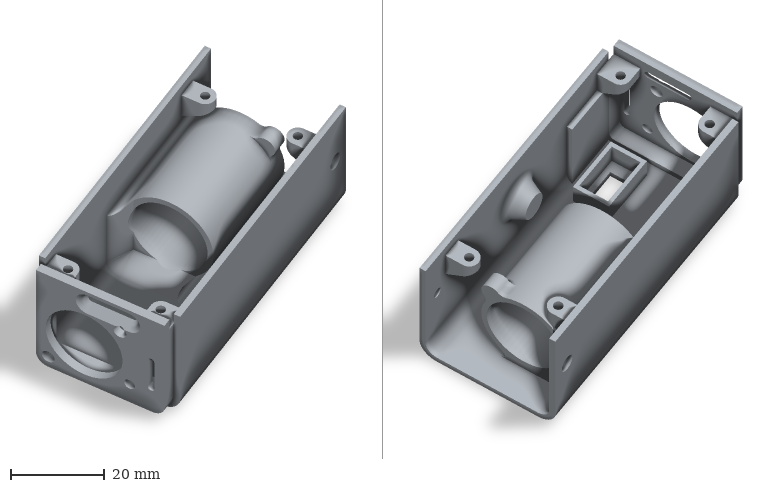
import cadquery as cq
import math

case_width = 35.0
case_height = 30.5
total_length = 74.0
cavity_width = 31.8
floor_thickness = 1.4
cavity_corner_radius = 3.0

plate_thickness = 2.1
case_front = 3.9
lip_end = 6.0
lip_thickness = 1.55
lip_top = 27.5

tube_x = -4.0
tube_z = 13.5
tube_bore = 19.0
tube_radius = 10.95
tube_front = 36.0
tube_back = 66.0
lug_offset = 8.4
lug_radius = 2.5
lug_length = 4.0
lug_fillet = 2.0

support_fillet = 1.0
support_foot_length = 6.0

flange_hole_diameter = 3.2
flange_hole_offset = 8.9
lead_hole_diameter = 2.7
lead_hole_x, lead_hole_z = 7.25, 7.0
window_x, window_z = 1.9, 26.6
window_straight = 10.15
window_outer_height = 5.85
window_inner_height = 2.0
side_slot_x, side_slot_z = 12.6, 13.1
side_slot_width, side_slot_height = 1.6, 10.1

mount_radius = 2.45
mount_hole_x = 11.5
mount_hole_diameter = 2.2
mount_hole_depth = 2.95
mount_wall_depth = 6.65
mount_slope = math.radians(30)
front_mount_y = lip_end
rear_mount_y = 63.9

wall_hole_y, wall_hole_z = 69.5, 17.55
wall_hole_diameter = 2.5
countersink_diameter = 4.15

boss_y = 39.0
boss_height = 4.4
boss_tip_radius = 3.25
boss_half_angle = math.radians(25)
boss_fillet = 2.0

frame_x, frame_y = 7.4, 16.1
frame_size = (9.3, 14.5)
frame_inside = (7.4, 12.4)
frame_opening = (4.6, 7.1)
frame_top = 6.5

pad_thickness = 1.4
pad_end = 20.0
pad_top = 21.5

half_cavity = cavity_width / 2
corner_x = -half_cavity + cavity_corner_radius
corner_z = floor_thickness + cavity_corner_radius
outer_corner_radius = corner_z
wall_thickness = (case_width - cavity_width) / 2
diagonal = math.sqrt(0.5)


def box(x0, x1, y0, y1, z0, z1):
    return cq.Workplane("XY").box(x1 - x0, y1 - y0, z1 - z0, centered=False).translate((x0, y0, z0))


def section(y):
    """Workplane at a given Y with local X = X and local Y = Z; extrude by a negative length toward +Y."""
    return cq.Workplane("XZ", origin=(0, y, 0))


def rod(x, z, radius, y0, y1):
    return section(y0).center(x, z).circle(radius).extrude(y0 - y1)


def u_block(half_width, bottom, top, radius, y0, y1):
    """Block along Y with rounded lower corners."""
    block = box(-half_width, half_width, y0, y1, bottom, top)
    return block.edges("|Y and <Z").fillet(radius)


def make_case():
    outer = u_block(case_width / 2, 0, case_height, outer_corner_radius, case_front, total_length)
    cavity = u_block(
        half_cavity, floor_thickness, case_height, cavity_corner_radius, case_front, total_length
    )
    return outer.cut(cavity)


def make_front():
    plate = u_block(half_cavity, floor_thickness, case_height, cavity_corner_radius, 0, plate_thickness)
    lip = u_block(half_cavity, floor_thickness, lip_top, cavity_corner_radius, plate_thickness, lip_end)
    lip_opening = u_block(
        half_cavity - lip_thickness,
        floor_thickness + lip_thickness,
        lip_top,
        cavity_corner_radius - lip_thickness,
        plate_thickness,
        lip_end,
    )
    return plate.union(lip.cut(lip_opening))


def cut_front_openings(body):
    body = body.cut(rod(tube_x, tube_z, tube_bore / 2, 0, plate_thickness))
    for side in (-1, 1):
        x, z = tube_x + side * flange_hole_offset, tube_z + side * flange_hole_offset
        body = body.cut(rod(x, z, flange_hole_diameter / 2, 0, plate_thickness))
    body = body.cut(rod(lead_hole_x, lead_hole_z, lead_hole_diameter / 2, 0, plate_thickness))
    side_slot = section(0).center(side_slot_x, side_slot_z)
    body = body.cut(side_slot.slot2D(side_slot_height, side_slot_width, 90).extrude(-plate_thickness))
    window = (
        section(0)
        .center(window_x, window_z)
        .slot2D(window_straight + window_outer_height, window_outer_height)
        .workplane(offset=-plate_thickness)
        .slot2D(window_straight + window_inner_height, window_inner_height)
        .loft(ruled=True)
    )
    return body.cut(window)


def make_support():
    """Block bounded by two 45 degree planes tangent to the tube, filleted into the wall and the floor."""
    reach = tube_radius * diagonal
    upper = (tube_x - reach, tube_z + reach)
    lower = (tube_x + reach, tube_z - reach)
    wall_z = upper[1] - (upper[0] + half_cavity)
    floor_x = lower[0] - (lower[1] - floor_thickness)
    tangent = support_fillet / math.tan(math.pi / 8)
    step = tangent * diagonal
    block = (
        section(tube_front - support_foot_length)
        .moveTo(*upper)
        .lineTo(-half_cavity + step, wall_z + step)
        .radiusArc((-half_cavity, wall_z + tangent), support_fillet)
        .lineTo(-half_cavity, floor_thickness)
        .lineTo(floor_x + tangent, floor_thickness)
        .radiusArc((floor_x + step, floor_thickness + step), support_fillet)
        .lineTo(*lower)
        .close()
        .extrude(-(tube_back - tube_front + support_foot_length))
    )
    return block.cut(make_foot_clearance())


def make_foot_clearance():
    """Space in front of the support whose foot slopes to the floor, wall and rounded corner."""
    foot = tube_front - support_foot_length
    above_floor = (
        cq.Workplane("YZ", origin=(corner_x, 0, 0))
        .polyline([
            (foot, floor_thickness),
            (tube_front, corner_z),
            (tube_front, case_height),
            (foot, case_height),
        ])
        .close()
        .extrude(cavity_width)
    )
    beside_wall = (
        cq.Workplane("XY", origin=(0, 0, corner_z))
        .polyline([
            (-half_cavity, foot),
            (corner_x, tube_front),
            (half_cavity, tube_front),
            (half_cavity, foot),
        ])
        .close()
        .extrude(case_height)
    )
    cone = cq.Solid.makeCone(
        cavity_corner_radius, 0, support_foot_length, cq.Vector(corner_x, foot, corner_z), cq.Vector(0, 1, 0)
    )
    return above_floor.union(beside_wall).union(cq.Workplane(cone))


def make_lug():
    """Round lug at the upper right of the tube, blended to it by a concave fillet on each side."""
    lug_start = tube_back - lug_length
    lug_x, lug_z = tube_x + lug_offset, tube_z + lug_offset
    lug = rod(lug_x, lug_z, lug_radius, lug_start, tube_back)
    spacing = lug_offset / diagonal
    to_tube = tube_radius + lug_fillet
    to_lug = lug_radius + lug_fillet
    along = (spacing**2 + to_tube**2 - to_lug**2) / (2 * spacing)
    across = math.sqrt(to_tube**2 - along**2)
    left = (tube_x + (along - across) * diagonal, tube_z + (along + across) * diagonal)
    right = (tube_x + (along + across) * diagonal, tube_z + (along - across) * diagonal)
    web = (
        section(lug_start)
        .polyline([(tube_x, tube_z), left, (lug_x, lug_z), right])
        .close()
        .extrude(-lug_length)
    )
    for x, z in (left, right):
        web = web.cut(rod(x, z, lug_fillet, lug_start, tube_back))
    return lug.union(web)


def make_tube():
    tube = rod(tube_x, tube_z, tube_radius, tube_front, tube_back)
    tube = tube.union(make_lug()).union(make_support())
    return tube.cut(rod(tube_x, tube_z, tube_bore / 2, 0, total_length))


def make_mount(side, hole_y, front_y):
    """Screw mount on one wall; its underside slopes up away from the wall."""
    reach = half_cavity - mount_hole_x + mount_radius
    back_y = hole_y + mount_radius
    tip_depth = mount_wall_depth - reach * math.tan(mount_slope)
    tip = half_cavity - reach
    mount = (
        cq.Workplane("XZ", origin=(0, back_y, 0))
        .polyline([
            (half_cavity, lip_top),
            (half_cavity, lip_top - mount_wall_depth),
            (tip, lip_top - tip_depth),
            (tip, lip_top),
        ])
        .close()
        .extrude(back_y - front_y)
    )
    rounded = cq.Workplane("XY").center(mount_hole_x, hole_y).circle(mount_radius).extrude(case_height)
    rounded = rounded.union(box(mount_hole_x, half_cavity, hole_y - mount_radius, back_y, 0, case_height))
    if front_y < hole_y - mount_radius:
        rounded = rounded.union(box(tip, half_cavity, front_y, hole_y, 0, case_height))
    mount = mount.intersect(rounded)
    hole = cq.Workplane("XY", origin=(mount_hole_x, hole_y, lip_top))
    mount = mount.cut(hole.circle(mount_hole_diameter / 2).extrude(-mount_hole_depth))
    return mount if side > 0 else mount.mirror("YZ")


def make_boss():
    """Cone standing on the right wall, flared into the wall by a fillet."""
    slope = math.tan(boss_half_angle)
    base_radius = boss_tip_radius + boss_height * slope
    tangent = boss_fillet * math.tan((math.pi / 2 - boss_half_angle) / 2)
    flare_height = tangent * math.cos(boss_half_angle)
    flare_radius = base_radius - tangent * math.sin(boss_half_angle)
    profile = (
        cq.Workplane("XY")
        .moveTo(half_cavity, 0)
        .lineTo(half_cavity, base_radius + tangent)
        .radiusArc((half_cavity - flare_height, flare_radius), boss_fillet)
        .lineTo(half_cavity - boss_height, boss_tip_radius)
        .lineTo(half_cavity - boss_height, 0)
        .close()
    )
    return profile.revolve(360, (0, 0, 0), (1, 0, 0)).translate((0, boss_y, wall_hole_z))


def make_frame():
    base = cq.Workplane("XY", origin=(frame_x, frame_y, floor_thickness))
    return base.rect(*frame_size).rect(*frame_inside).extrude(frame_top - floor_thickness)


def make_pad():
    return box(half_cavity - pad_thickness, half_cavity, lip_end, pad_end, floor_thickness, pad_top)


def cut_frame_opening(body):
    base = cq.Workplane("XY", origin=(frame_x, frame_y, 0))
    return body.cut(base.rect(*frame_opening).extrude(floor_thickness))


def cut_wall_holes(body):
    hole_radius = wall_hole_diameter / 2
    sink_radius = countersink_diameter / 2
    sink_depth = sink_radius - hole_radius
    for side in (-1, 1):
        outside = cq.Vector(side * case_width / 2, wall_hole_y, wall_hole_z)
        inward = cq.Vector(-side, 0, 0)
        hole = cq.Solid.makeCylinder(hole_radius, wall_thickness, outside, inward)
        sink = cq.Solid.makeCone(sink_radius, hole_radius, sink_depth, outside, inward)
        body = body.cut(cq.Workplane(hole)).cut(cq.Workplane(sink))
    return body


result = make_case().union(cut_front_openings(make_front()))
result = result.union(make_tube())
for side in (-1, 1):
    result = result.union(make_mount(side, front_mount_y, plate_thickness))
    result = result.union(make_mount(side, rear_mount_y, rear_mount_y - mount_radius))
result = result.union(make_boss())
result = result.union(make_frame())
result = result.union(make_pad())
result = cut_frame_opening(result)
result = cut_wall_holes(result)